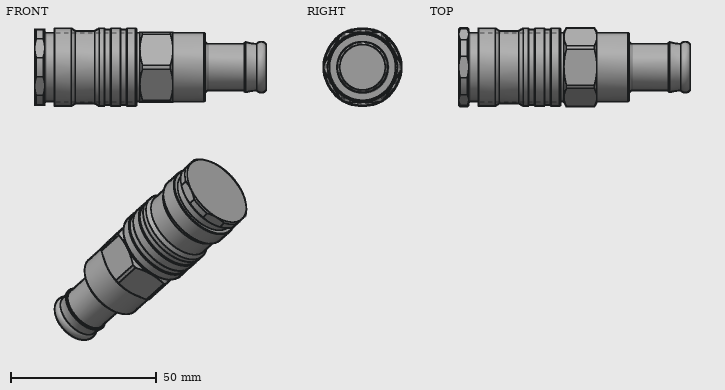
import cadquery as cq
import math


collar_length = 3.5
collar_d = 27.1
collar_flats = 26.05
collar_face_d = 26.0
collar_root_fillet = 0.4

neck_d = 23.7
barrel_d = 23.8
barrel_end = 58.7
barrel_chamfer = 0.55

hex_start = 36.15
hex_end = 47.55
hex_d = 27.1
hex_flats = 24.05
hex_face_d = 24.0
hex_chamfer_angle = 30.0

tail_d = 16.2
tail_root_fillet = 0.9
barb_start = 72.1
barb_d = 17.4
barb_lip = 0.4
barb_chamfer = 0.3
barb_dip_x = 74.5
barb_dip_d = 16.5
bead_start = 76.3
bead_start_d = 16.1
bead_d = 17.6
bead_peak_x = 77.9
tail_end = 79.65
tail_end_d = 15.6

sleeve_start = 6.7
sleeve_end = 35.1
sleeve_d = 26.8
sleeve_front_chamfer = 0.2
sleeve_rear_chamfer_length = 0.5
sleeve_rear_chamfer_depth = 0.3
waist_d = 25.0
waist_shoulder_front = 12.6
waist_start = 14.0
waist_end = 20.6
waist_shoulder_rear = 22.2
grip_groove_starts = (23.9, 29.4)
grip_groove_width = 2.4
grip_groove_depth = 0.4
grip_groove_slope = 0.2


def revolve_about_x(profile):
    """Turn a closed half profile, drawn as (x, radius), about the X axis."""
    return profile.revolve(360, (0, 0, 0), (1, 0, 0))


def cylinder_on_x(start, end, diameter):
    return cq.Workplane("YZ", origin=(start, 0, 0)).circle(diameter / 2).extrude(end - start)


def chamfered_hexagon(start, end, corner_d, flats, face_d, chamfer_length):
    """Hexagon with corners on +Y and -Y, cut to a round blank with both ends chamfered."""
    corner_r = corner_d / 2
    face_r = face_d / 2
    blank = revolve_about_x(
        cq.Workplane("XY")
        .moveTo(start, 0)
        .lineTo(start, face_r)
        .lineTo(start + chamfer_length, corner_r)
        .lineTo(end - chamfer_length, corner_r)
        .lineTo(end, face_r)
        .lineTo(end, 0)
        .close()
    )
    across_corners = flats / math.cos(math.pi / 6)
    prism = cq.Workplane("YZ", origin=(start, 0, 0)).polygon(6, across_corners).extrude(end - start)
    return blank.intersect(prism)


def make_collar():
    chamfer = (collar_d - collar_face_d) / 2
    return chamfered_hexagon(0, collar_length, collar_d, collar_flats, collar_face_d, chamfer)


def make_hex():
    chamfer = (hex_d - hex_face_d) / 2 * math.tan(math.radians(hex_chamfer_angle))
    return chamfered_hexagon(hex_start, hex_end, hex_d, hex_flats, hex_face_d, chamfer)


def make_barrel():
    """Neck, barrel and hose tail, with a rounded root at the collar and at the tail."""
    neck_r = neck_d / 2
    barrel_r = barrel_d / 2
    tail_r = tail_d / 2
    return revolve_about_x(
        cq.Workplane("XY")
        .moveTo(collar_length, 0)
        .lineTo(collar_length, neck_r + collar_root_fillet)
        .radiusArc((collar_length + collar_root_fillet, neck_r), -collar_root_fillet)
        .lineTo(hex_start, neck_r)
        .lineTo(hex_start, barrel_r)
        .lineTo(barrel_end - barrel_chamfer, barrel_r)
        .lineTo(barrel_end, barrel_r - barrel_chamfer)
        .lineTo(barrel_end, tail_r + tail_root_fillet)
        .radiusArc((barrel_end + tail_root_fillet, tail_r), -tail_root_fillet)
        .lineTo(barb_start, tail_r)
        .lineTo(barb_start, barb_d / 2 - barb_chamfer)
        .lineTo(barb_start + barb_lip, barb_d / 2)
        .threePointArc((barb_dip_x, barb_dip_d / 2), (bead_start, bead_start_d / 2))
        .threePointArc((bead_peak_x, bead_d / 2), (tail_end, tail_end_d / 2))
        .lineTo(tail_end, 0)
        .close()
    )


def make_body():
    return make_barrel().union(make_collar()).union(make_hex())


def make_grip_groove(start):
    """Ring to remove: a shallow groove with sloping sides."""
    outer_r = sleeve_d / 2
    floor_r = outer_r - grip_groove_depth
    end = start + grip_groove_width
    return revolve_about_x(
        cq.Workplane("XY")
        .moveTo(start, outer_r)
        .lineTo(start + grip_groove_slope, floor_r)
        .lineTo(end - grip_groove_slope, floor_r)
        .lineTo(end, outer_r)
        .close()
    )


def make_sleeve():
    outer_r = sleeve_d / 2
    waist_r = waist_d / 2
    blank = revolve_about_x(
        cq.Workplane("XY")
        .moveTo(sleeve_start, 0)
        .lineTo(sleeve_start, outer_r - sleeve_front_chamfer)
        .lineTo(sleeve_start + sleeve_front_chamfer, outer_r)
        .lineTo(waist_shoulder_front, outer_r)
        .lineTo(waist_start, waist_r)
        .lineTo(waist_end, waist_r)
        .lineTo(waist_shoulder_rear, outer_r)
        .lineTo(sleeve_end - sleeve_rear_chamfer_length, outer_r)
        .lineTo(sleeve_end, outer_r - sleeve_rear_chamfer_depth)
        .lineTo(sleeve_end, 0)
        .close()
    )
    sleeve = blank.cut(cylinder_on_x(sleeve_start, sleeve_end, neck_d))
    for start in grip_groove_starts:
        sleeve = sleeve.cut(make_grip_groove(start))
    return sleeve


body = make_body()
sleeve = make_sleeve()

result = cq.Compound.makeCompound([body.solids().val(), sleeve.solids().val()])